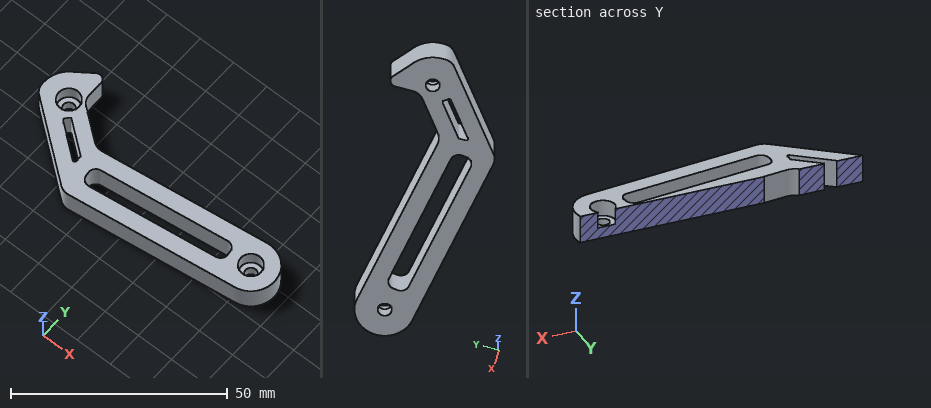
import cadquery as cq
import math

THICKNESS = 7.0
PIVOT_X = 60.59
PIVOT_Y = -6.95
LONG_ARM_ANGLE = 7.13
BEND_ANGLE = 45.3
SHORT_ARM_ANGLE = LONG_ARM_ANGLE - BEND_ANGLE
LONG_ARM_WIDTH = 14.0
SHORT_ARM_WIDTH = 10.0
SHORT_ARM_OFFSET = -1.45
ELBOW_RADIUS = 4.0
HOOK_ROOT_RADIUS = 3.5

HOOK_RADIUS = 7.5
HOOK_SWEEP = 60.0
BEAK_ANGLE = 36.4
BEAK_FRONT_X = 2.83
BEAK_TIP_RADIUS = 1.6

BORE_DIAMETER = 3.2
COUNTERBORE_DIAMETER = 6.0
COUNTERBORE_DEPTH = 4.0

LONG_SLOT_WIDTH = 5.0
LONG_SLOT_START = -44.9
LONG_SLOT_END = -6.0
LONG_SLOT_CORNER_RADIUS = 2.0
SHORT_SLOT_WIDTH = 2.0
SHORT_SLOT_START = 4.75
SHORT_SLOT_END_X = 11.82
SHORT_SLOT_CORNER_RADIUS = 0.4


def direction(angle):
    return math.cos(math.radians(angle)), math.sin(math.radians(angle))


def arm_point(origin, angle, along, across):
    """Point at a distance along an arm and to the left of its centreline."""
    cos_a, sin_a = direction(angle)
    return (
        origin[0] + along * cos_a - across * sin_a,
        origin[1] + along * sin_a + across * cos_a,
    )


def long_arm(along, across):
    return arm_point((PIVOT_X, PIVOT_Y), LONG_ARM_ANGLE, along, across)


def short_arm(along, across):
    return arm_point((0, 0), SHORT_ARM_ANGLE, along, SHORT_ARM_OFFSET + across)


def at_x(point, angle, x):
    """Point at the given x on the line through a point at an angle."""
    return x, point[1] + (x - point[0]) * math.tan(math.radians(angle))


def elbow(side):
    """Where the edges of the two arms cross, on the upper (+1) or lower (-1) side."""
    px, py = short_arm(0, side * SHORT_ARM_WIDTH / 2)
    qx, qy = long_arm(0, side * LONG_ARM_WIDTH / 2)
    short_slope = math.tan(math.radians(SHORT_ARM_ANGLE))
    long_slope = math.tan(math.radians(LONG_ARM_ANGLE))
    x = (qy - py + short_slope * px - long_slope * qx) / (short_slope - long_slope)
    return at_x((px, py), SHORT_ARM_ANGLE, x)


def fillet_at(solid, point, radius):
    """Round the vertical edge standing on a plan point."""
    x, y = point
    reach = 0.05
    box = cq.selectors.BoxSelector(
        (x - reach, y - reach, -reach), (x + reach, y + reach, THICKNESS + reach)
    )
    return solid.edges("|Z").edges(box).fillet(radius)


def make_body():
    half_long = LONG_ARM_WIDTH / 2
    back_start = (-HOOK_RADIUS, 0)
    back_middle = tuple(HOOK_RADIUS * c for c in direction(180 - HOOK_SWEEP / 2))
    back_end = tuple(HOOK_RADIUS * c for c in direction(180 - HOOK_SWEEP))
    tip = at_x(back_end, BEAK_ANGLE, BEAK_FRONT_X)
    throat = at_x(short_arm(0, SHORT_ARM_WIDTH / 2), SHORT_ARM_ANGLE, BEAK_FRONT_X)
    heel = at_x(short_arm(0, -SHORT_ARM_WIDTH / 2), SHORT_ARM_ANGLE, -HOOK_RADIUS)

    body = (
        cq.Workplane("XY")
        .moveTo(*back_start)
        .threePointArc(back_middle, back_end)
        .lineTo(*tip)
        .lineTo(*throat)
        .lineTo(*elbow(1))
        .lineTo(*long_arm(0, half_long))
        .threePointArc(long_arm(half_long, 0), long_arm(0, -half_long))
        .lineTo(*elbow(-1))
        .lineTo(*heel)
        .close()
        .extrude(THICKNESS)
    )
    body = fillet_at(body, tip, BEAK_TIP_RADIUS)
    for corner in (throat, heel):
        body = fillet_at(body, corner, HOOK_ROOT_RADIUS)
    for side in (1, -1):
        body = fillet_at(body, elbow(side), ELBOW_RADIUS)
    return body


def slot_cutter(corners, radius):
    """Full-thickness four-sided prism with rounded corners."""
    cutter = cq.Workplane("XY").polyline(corners).close().extrude(THICKNESS)
    return cutter.edges("|Z").fillet(radius)


def make_long_slot():
    half = LONG_SLOT_WIDTH / 2
    corners = [
        long_arm(LONG_SLOT_START, -half),
        long_arm(LONG_SLOT_END, -half),
        long_arm(LONG_SLOT_END, half),
        long_arm(LONG_SLOT_START, half),
    ]
    return slot_cutter(corners, LONG_SLOT_CORNER_RADIUS)


def make_short_slot():
    half = SHORT_SLOT_WIDTH / 2
    lower_start = short_arm(SHORT_SLOT_START, -half)
    upper_start = short_arm(SHORT_SLOT_START, half)
    lower_end = at_x(lower_start, SHORT_ARM_ANGLE, SHORT_SLOT_END_X)
    upper_end = at_x(upper_start, SHORT_ARM_ANGLE, SHORT_SLOT_END_X)
    corners = [lower_start, lower_end, upper_end, upper_start]
    return slot_cutter(corners, SHORT_SLOT_CORNER_RADIUS)


def drill_holes(body):
    return (
        body.faces(">Z")
        .workplane(origin=(0, 0, THICKNESS))
        .pushPoints([(0, 0), (PIVOT_X, PIVOT_Y)])
        .cboreHole(BORE_DIAMETER, COUNTERBORE_DIAMETER, COUNTERBORE_DEPTH)
    )


result = drill_holes(make_body().cut(make_long_slot()).cut(make_short_slot()))